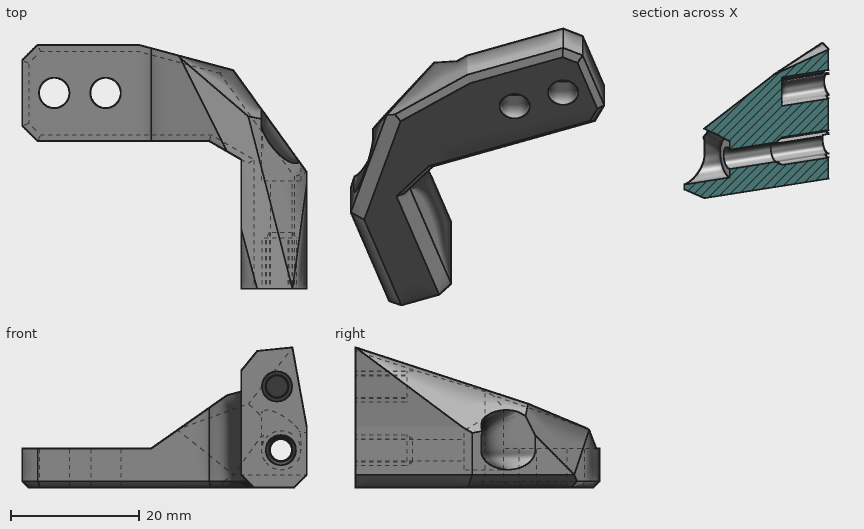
import cadquery as cq
import math

length = 44.37
depth = 38.05
height = 21.86

foot_width = 15.0
foot_thickness = 6.1
foot_corner = 2.4
foot_front = depth - foot_width
foot_hole_diameter = 4.7
foot_hole_first = 5.0
foot_hole_spacing = 8.0
foot_hole_count = 2
ramp_start = 20.1
ramp_angle = 35.0

arm_left = 34.13
inner_bevel = 5.0
inner_bevel_angle = 30.0
inner_y = foot_front - inner_bevel * math.tan(math.radians(inner_bevel_angle))
arm_corner_rise = 3.07
arm_corner_run = 2.51
arm_left_top = 18.23
arm_right_top = 9.45
apex_x = 42.13

rear_taper_start = 18.2
rear_taper_angle = 15.0
elbow_x = 32.9
elbow_y = depth - (elbow_x - rear_taper_start) * math.tan(math.radians(rear_taper_angle))
arm_rear = 18.2

ridge_start = (24.6, 36.05)
ridge_peak = (35.24, 26.9)
side_roof_end = 16.65
elbow_wall_top = 2.0

foot_bottom_bevel = 1.0
arm_bottom_bevel = 2.0

arm_hole_diameter = 3.4
relief_diameter = 4.7
relief_depth = 8.0
relief_taper = 1.0
sleeve_wall = 0.1
lower_hole = (40.33, 5.84)
upper_hole = (39.72, 15.75)

access_diameter = 6.1
access_start = 16.9
access_slope = 0.64


def ramp_height(x):
    """Height of the ramp that climbs from the foot to the arm."""
    return foot_thickness + (x - ramp_start) * math.tan(math.radians(ramp_angle))


def upward_plane(points):
    """Origin and upward normal of the plane through three points."""
    origin, second, third = (cq.Vector(*p) for p in points)
    normal = (second - origin).cross(third - origin)
    if normal.z < 0:
        normal = normal * -1
    return origin, normal


def plane_height(points, x, y):
    """Height at (x, y) of the plane through three points."""
    origin, normal = upward_plane(points)
    return origin.z - (normal.x * (x - origin.x) + normal.y * (y - origin.y)) / normal.z


def above_plane(points):
    """Large block that fills the space above the plane through three points."""
    origin, normal = upward_plane(points)
    reach = 4 * length
    plane = cq.Plane(origin=origin.toTuple(), normal=normal.toTuple())
    return cq.Workplane(plane).rect(reach, reach).extrude(reach)


def cylinder_along_y(center, diameter, start, cylinder_length):
    """Cylinder along +Y with its axis at (x, z), starting at y = start."""
    x, z = center
    axis = cq.Vector(0, 1, 0)
    base = cq.Vector(x, start, z)
    return cq.Workplane(cq.Solid.makeCylinder(diameter / 2, cylinder_length, base, axis))


def bevel_bottom(prism, sides, size):
    """Bevel the bottom edges that lie under the given sides of the plan outline."""
    edges = []
    for (x0, y0), (x1, y1) in sides:
        middle = ((x0 + x1) / 2, (y0 + y1) / 2, 0)
        edges.append(prism.edges(cq.selectors.NearestToPointSelector(middle)).val())
    return prism.newObject(edges).chamfer(size)


def plan_prism():
    """Plan outline of foot, elbow and arm, extruded upward and bevelled along its bottom edges."""
    outline = [
        (arm_left, 0),
        (arm_left, inner_y),
        (arm_left - inner_bevel, foot_front),
        (foot_corner, foot_front),
        (0, foot_front + foot_corner),
        (0, depth - foot_corner),
        (foot_corner, depth),
        (rear_taper_start, depth),
        (elbow_x, elbow_y),
        (length, arm_rear),
        (length, 0),
    ]
    prism = cq.Workplane("XY").polyline(outline).close().extrude(height)

    sides = list(zip(outline, outline[1:]))
    last = len(sides) - 1
    arm_sides = [sides[0], sides[last - 1], sides[last]]
    foot_sides = sides[1:last - 1]
    prism = bevel_bottom(prism, arm_sides, arm_bottom_bevel)
    return bevel_bottom(prism, foot_sides, foot_bottom_bevel)


def side_profile():
    """Outline of the part in XZ, extruded along the full depth."""
    outline = [
        (0, 0),
        (0, foot_thickness),
        (ramp_start, foot_thickness),
        (arm_left, ramp_height(arm_left)),
        (arm_left, arm_left_top),
        (arm_left + arm_corner_run, arm_left_top + arm_corner_rise),
        (apex_x, height),
        (length, arm_right_top),
        (length, 0),
    ]
    return cq.Workplane("XZ").polyline(outline).close().extrude(-depth)


def cut_roof(body):
    """Trim the body under the main roof, the outer roof and the elbow roof."""
    apex = (apex_x, 0, height)
    arm_corner = (arm_left + arm_corner_run, 0, arm_left_top + arm_corner_rise)
    ridge_foot = (*ridge_start, ramp_height(ridge_start[0]))
    main_roof = [apex, arm_corner, ridge_foot]
    ridge_top = (*ridge_peak, plane_height(main_roof, *ridge_peak))
    outer_roof = [apex, ridge_top, (length, side_roof_end, arm_right_top)]
    elbow_roof = [ridge_foot, ridge_top, (elbow_x, elbow_y, elbow_wall_top)]
    for roof in (main_roof, outer_roof, elbow_roof):
        body = body.cut(above_plane(roof))
    return body


def cut_foot_holes(body):
    """Row of vertical through holes in the foot."""
    row_y = foot_front + foot_width / 2
    centers = [(foot_hole_first + i * foot_hole_spacing, row_y) for i in range(foot_hole_count)]
    holes = cq.Workplane("XY").pushPoints(centers).circle(foot_hole_diameter / 2).extrude(height)
    return body.cut(holes)


def cut_arm_holes(body):
    """Sleeved bores in the arm's end face: a through bore with a tapered relief and a blind bore above."""
    sleeve_diameter = arm_hole_diameter + 2 * sleeve_wall
    x, z = lower_hole
    taper_base = cq.Vector(x, relief_depth, z)
    axis = cq.Vector(0, 1, 0)
    taper = cq.Solid.makeCone(relief_diameter / 2, arm_hole_diameter / 2, relief_taper, taper_base, axis)
    body = body.cut(cq.Workplane(taper))
    for center, sleeve_depth, bore_depth in (
        (lower_hole, relief_depth + relief_taper, depth),
        (upper_hole, relief_depth, relief_depth),
    ):
        body = body.cut(cylinder_along_y(center, relief_diameter, 0, relief_depth))
        body = body.union(cylinder_along_y(center, sleeve_diameter, 0, sleeve_depth))
        body = body.cut(cylinder_along_y(center, arm_hole_diameter, 0, bore_depth))
    return body


def cut_screw_access(body):
    """Screw access: a level bore, a bore rising toward the rear and the wedge between the two."""
    x, z = lower_hole
    run = depth - access_start
    rise = run * access_slope
    radius = access_diameter / 2
    wedge_outline = [(access_start, z), (depth, z), (depth, z + rise)]
    wedge = cq.Workplane("YZ", origin=(x, 0, 0)).polyline(wedge_outline).close().extrude(radius, both=True)
    disc = cq.Workplane("XZ", origin=(x, access_start, z)).circle(radius)
    path = cq.Workplane("YZ", origin=(x, 0, 0)).moveTo(access_start, z).lineTo(depth, z + rise)
    body = body.cut(cylinder_along_y(lower_hole, access_diameter, access_start, run))
    return body.cut(wedge).cut(disc.sweep(path))


result = plan_prism().intersect(side_profile())
result = cut_roof(result)
result = cut_foot_holes(result)
result = cut_arm_holes(result)
result = cut_screw_access(result)